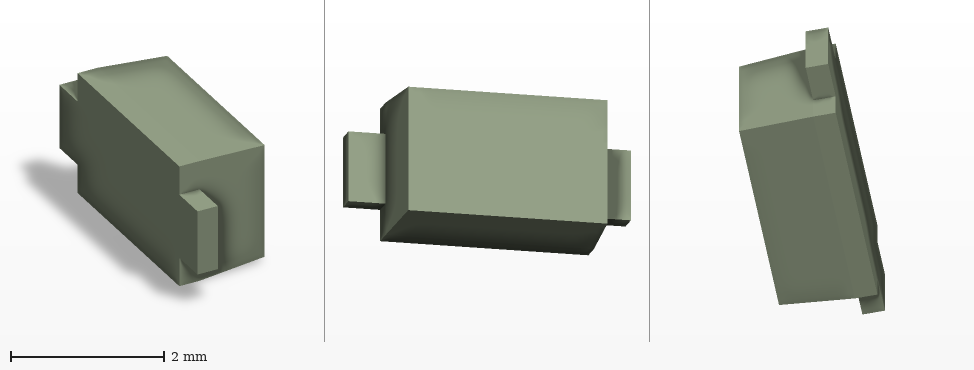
import cadquery as cq

total_length = 3.8
total_height = 1.3
body_length = 2.8
body_width = 1.8

base_height = 0.3
top_inset = 0.06

lead_length = 0.7
lead_width = 0.95

band_start = 0.3
band_width = 0.2
band_depth = 0.09

taper_height = total_height - base_height
top_length = body_length - 2 * top_inset
top_width = body_width - 2 * top_inset
lead_centre = (total_length - lead_length) / 2
band_centre = -body_length / 2 + band_start + band_width / 2


def block(length, height, width):
    """Box standing on Y = 0, centred on X and Z."""
    return cq.Workplane("XY").box(length, height, width, centered=(True, False, True))


def make_lead(side):
    """Flat lead at the -X (side = -1) or +X (side = 1) end."""
    return block(lead_length, base_height, lead_width).translate((side * lead_centre, 0, 0))


def make_envelope():
    """Straight base topped by a part that tapers on all four sides."""
    base = block(body_length, base_height, body_width)
    taper = (
        cq.Workplane("XZ", origin=(0, base_height, 0))
        .rect(body_length, body_width)
        .workplane(offset=-taper_height)
        .rect(top_length, top_width)
        .loft(ruled=True, combine=True)
    )
    return base.union(taper)


def make_band(envelope):
    """Inlaid strip across the full width of the top, flush with the tapered sides."""
    strip = block(band_width, band_depth, body_width)
    strip = strip.translate((band_centre, total_height - band_depth, 0))
    return envelope.intersect(strip)


envelope = make_envelope()
leads = [make_lead(side) for side in (-1, 1)]
band = make_band(envelope)

housing = envelope.cut(band)
for lead in leads:
    housing = housing.cut(lead)

result = cq.Compound.makeCompound([housing.val(), band.val(), *[lead.val() for lead in leads]])